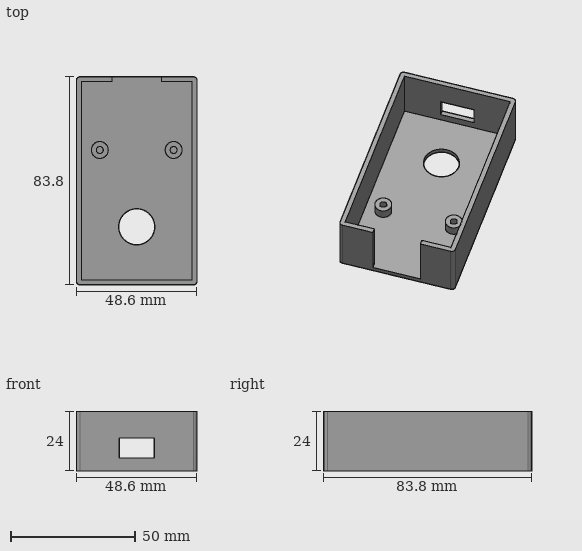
import cadquery as cq

width = 48.6
length = 83.8
height = 24.0
wall = 2.0
floor_thickness = 2.0
corner_radius = 1.5

gap_width = 20.0

window_width = 14.0
window_height = 8.0
window_bottom = 5.3

opening_diameter = 14.42
opening_y = -18.5

post_diameter = 6.8
post_hole_diameter = 2.8
post_height = 4.0
post_spacing = 29.7
post_y = 12.4


def wall_cutter(cut_width, cut_height, bottom, wall_y):
    """Box centred on X and on wall_y, deep enough to pass through one wall."""
    cut_depth = 2 * wall
    return (
        cq.Workplane("XY", origin=(0, wall_y, bottom))
        .box(cut_width, cut_depth, cut_height, centered=(True, True, False))
    )


def make_shell():
    """Open-topped box with rounded outer corners and square inner corners."""
    outside = (
        cq.Workplane("XY")
        .box(width, length, height, centered=(True, True, False))
        .edges("|Z")
        .fillet(corner_radius)
    )
    cavity = (
        cq.Workplane("XY", origin=(0, 0, floor_thickness))
        .box(width - 2 * wall, length - 2 * wall, height, centered=(True, True, False))
    )
    return outside.cut(cavity)


def make_posts():
    """Pair of posts, each with a screw hole that ends at the floor."""
    return (
        cq.Workplane("XY", origin=(0, post_y, floor_thickness))
        .pushPoints([(-post_spacing / 2, 0), (post_spacing / 2, 0)])
        .circle(post_diameter / 2)
        .circle(post_hole_diameter / 2)
        .extrude(post_height)
    )


def make_floor_opening():
    """Cylinder that cuts the round opening through the floor."""
    return (
        cq.Workplane("XY", origin=(0, opening_y, 0))
        .circle(opening_diameter / 2)
        .extrude(floor_thickness)
    )


wall_centre_y = (length - wall) / 2
gap = wall_cutter(gap_width, height - floor_thickness, floor_thickness, wall_centre_y)
window = wall_cutter(window_width, window_height, window_bottom, -wall_centre_y)

result = (
    make_shell()
    .union(make_posts())
    .cut(gap)
    .cut(window)
    .cut(make_floor_opening())
)